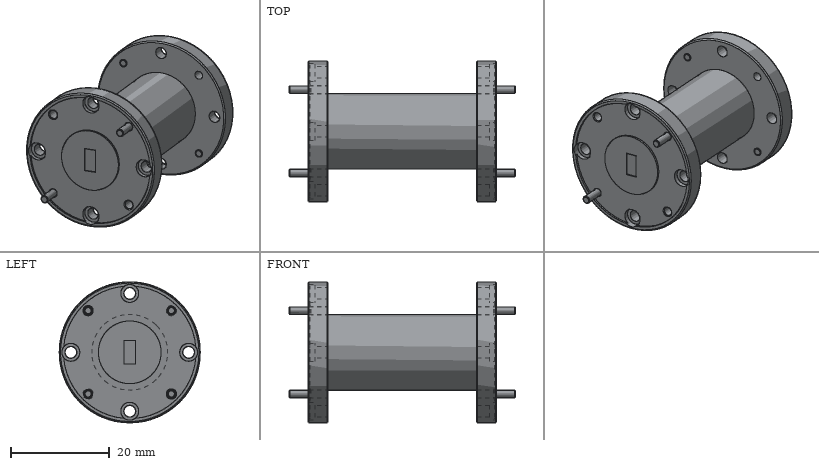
import cadquery as cq
import math

OVERALL_LENGTH = 45.85
BODY_LENGTH = 38.25

FLANGE_DIAMETER = 28.55
FLANGE_THICKNESS = 4.13
FLANGE_CHAMFER = 0.28
TUBE_DIAMETER = 15.35

BOSS_DIAMETER = 12.7
RIM_INNER_DIAMETER = 26.8
FACE_RECESS_DEPTH = 0.45

WINDOW_WIDTH = 2.4
WINDOW_HEIGHT = 4.7
WINDOW_DEPTH = 0.28

BOLT_CIRCLE_DIAMETER = 23.85
SCREW_HOLE_DIAMETER = 2.35
COUNTERBORE_DIAMETER = 3.6
COUNTERBORE_DEPTH = 1.45
SCREW_ANGLES = (0, 90, 180, 270)

PIN_DIAMETER = 1.55
PIN_CHAMFER = 0.16
PIN_SEAT_CHAMFER = 0.15
DOWEL_HOLE_DIAMETER = 1.7
DOWEL_HOLE_CHAMFER = 0.2
PIN_ANGLES = (45, 225)
DOWEL_HOLE_ANGLES = (135, 315)

BODY_HALF = BODY_LENGTH / 2
INNER_FACE = BODY_HALF - FLANGE_THICKNESS
RECESS_FLOOR = BODY_HALF - FACE_RECESS_DEPTH
BOLT_RADIUS = BOLT_CIRCLE_DIAMETER / 2
PIN_LENGTH = OVERALL_LENGTH / 2 - INNER_FACE


def plane_at(x):
    """Plane facing +X whose local axes are the part's Y and Z."""
    return cq.Workplane("YZ", origin=(x, 0, 0))


def bolt_points(angles):
    """Points on the bolt circle, with angles measured from +Y towards +Z."""
    points = []
    for angle in angles:
        turn = math.radians(angle)
        points.append((BOLT_RADIUS * math.cos(turn), BOLT_RADIUS * math.sin(turn)))
    return points


def to_other_end(shape):
    """Copy of a +X end feature, turned half way round Z to the -X end."""
    return shape.rotate((0, 0, 0), (0, 0, 1), 180)


def make_chamfered_hole(point, diameter, chamfer):
    """Solid filling one flange hole, flared where it meets the recess floor."""
    radius = diameter / 2
    bore = plane_at(INNER_FACE).center(*point).circle(radius).extrude(FLANGE_THICKNESS)
    mouth = cq.Solid.makeCone(
        radius + chamfer,
        radius,
        chamfer,
        pnt=cq.Vector(RECESS_FLOOR, *point),
        dir=cq.Vector(-1, 0, 0),
    )
    return bore.union(cq.Workplane(mouth))


def make_flange():
    """Flange at the +X end with its bored and recessed outer face."""
    flange = plane_at(INNER_FACE).circle(FLANGE_DIAMETER / 2).extrude(FLANGE_THICKNESS)
    flange = flange.edges().chamfer(FLANGE_CHAMFER)

    face_recess = (
        plane_at(RECESS_FLOOR)
        .circle(RIM_INNER_DIAMETER / 2)
        .circle(BOSS_DIAMETER / 2)
        .extrude(FACE_RECESS_DEPTH)
    )
    window = plane_at(BODY_HALF).rect(WINDOW_WIDTH, WINDOW_HEIGHT).extrude(-WINDOW_DEPTH)
    flange = flange.cut(face_recess).cut(window)

    screw_points = bolt_points(SCREW_ANGLES)
    screw_holes = (
        plane_at(INNER_FACE).pushPoints(screw_points)
        .circle(SCREW_HOLE_DIAMETER / 2).extrude(FLANGE_THICKNESS)
    )
    counterbores = (
        plane_at(BODY_HALF).pushPoints(screw_points)
        .circle(COUNTERBORE_DIAMETER / 2).extrude(-COUNTERBORE_DEPTH)
    )
    flange = flange.cut(screw_holes).cut(counterbores)

    for point in bolt_points(PIN_ANGLES):
        flange = flange.cut(make_chamfered_hole(point, PIN_DIAMETER, PIN_SEAT_CHAMFER))
    for point in bolt_points(DOWEL_HOLE_ANGLES):
        flange = flange.cut(make_chamfered_hole(point, DOWEL_HOLE_DIAMETER, DOWEL_HOLE_CHAMFER))
    return flange


def make_body():
    """Tube with a flange at each end, in one piece."""
    tube = plane_at(-INNER_FACE).circle(TUBE_DIAMETER / 2).extrude(2 * INNER_FACE)
    flange = make_flange()
    return tube.union(flange).union(to_other_end(flange))


def make_pin(point):
    """Dowel pin at the +X end, flush with the inner face of the flange."""
    pin = plane_at(INNER_FACE).center(*point).circle(PIN_DIAMETER / 2).extrude(PIN_LENGTH)
    return pin.faces("<X or >X").edges().chamfer(PIN_CHAMFER)


body = make_body()

pins = []
for pin_point in bolt_points(PIN_ANGLES):
    pin = make_pin(pin_point)
    pins.append(pin.val())
    pins.append(to_other_end(pin).val())

result = cq.Compound.makeCompound([body.val(), *pins])